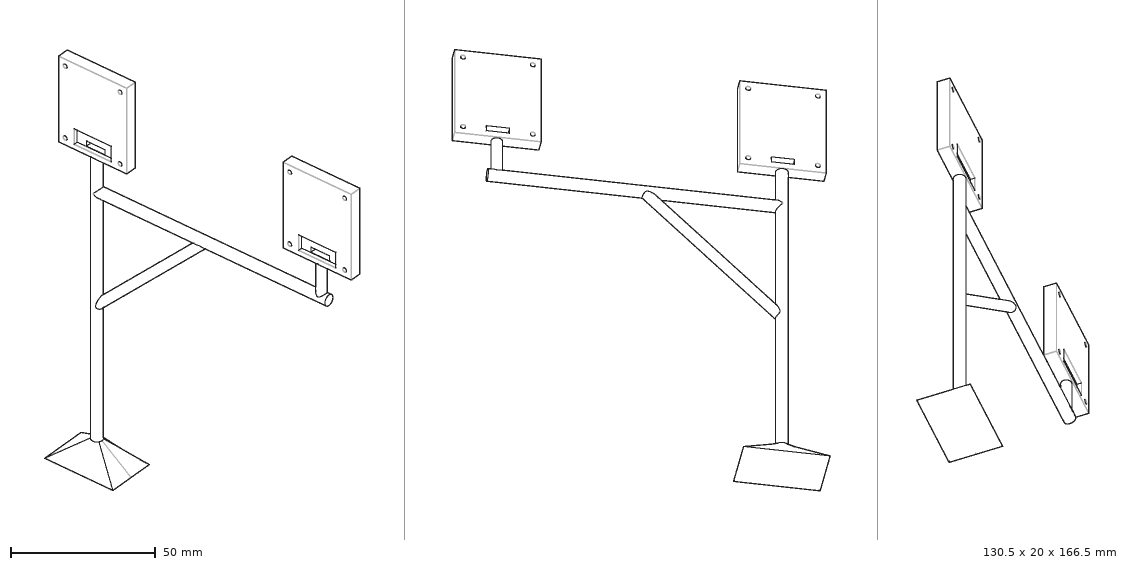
import cadquery as cq


total_height = 166.5
total_length = 130.5

panel_width = 30.5
panel_depth = 4.8
panel_height = 36.5
edge_radius = 0.1
panel_spacing = total_length - panel_width
panel_bottom = total_height - panel_height
panel_center_z = panel_bottom + panel_height / 2

hole_diameter = 1.62
hole_inset = 3.0

pocket_width = 16.5
pocket_height = 6.5
pocket_depth = 1.7
pocket_offset = 2.2
pocket_floor = panel_bottom + pocket_offset
window_width = 8.2
window_height = 2.2
window_sill = 0.2

pole_diameter = 4.5
arm_diameter = pole_diameter
post_diameter = 4.0
brace_diameter = 4.0
arm_height = 114.9
arm_overhang = 3.3
arm_end = panel_spacing + arm_overhang
brace_reach = 48.5

foot_width = panel_width
foot_depth = 20.0
foot_height = 9.8


def rod(start, end, diameter):
    """Solid cylinder between two points."""
    axis = cq.Vector(*end) - cq.Vector(*start)
    return cq.Workplane(cq.Solid.makeCylinder(diameter / 2, axis.Length, cq.Vector(*start), axis))


def front_recess(width, height, depth, bottom):
    """Block that cuts into the panel front from the given bottom height upward."""
    return (
        cq.Workplane("XY", origin=(0, -panel_depth / 2, bottom))
        .box(width, depth, height, centered=(True, False, False))
    )


def make_panel():
    """Panel centred on the Z axis, facing -Y, with slightly rounded outer edges."""
    body = cq.Workplane("XY", origin=(0, 0, panel_center_z)).box(panel_width, panel_depth, panel_height)
    holes = (
        cq.Workplane("XZ", origin=(0, 0, panel_center_z))
        .rect(panel_width - 2 * hole_inset, panel_height - 2 * hole_inset, forConstruction=True)
        .vertices()
        .circle(hole_diameter / 2)
        .extrude(panel_depth, both=True)
    )
    pocket = front_recess(pocket_width, pocket_height, pocket_depth, pocket_floor)
    window = front_recess(window_width, window_height, panel_depth, pocket_floor + window_sill)
    rounded_edges = "<Y or >Y or (|Y and (<X or >X))"
    rounded_body = body.cut(holes).cut(pocket).edges(rounded_edges).fillet(edge_radius)
    return rounded_body.cut(window)


def make_foot():
    """Rectangular base that blends into the round pole."""
    return (
        cq.Workplane("XY")
        .rect(foot_width, foot_depth)
        .workplane(offset=foot_height)
        .circle(pole_diameter / 2)
        .loft(ruled=True)
    )


panel = make_panel()
pole = rod((0, 0, foot_height), (0, 0, panel_bottom), pole_diameter)
arm = rod((0, 0, arm_height), (arm_end, 0, arm_height), arm_diameter)
post = rod((panel_spacing, 0, arm_height), (panel_spacing, 0, panel_bottom), post_diameter)
brace = rod((0, 0, arm_height - brace_reach), (brace_reach, 0, arm_height), brace_diameter)

result = make_foot()
for piece in (pole, arm, brace, post, panel, panel.translate((panel_spacing, 0, 0))):
    result = result.union(piece)